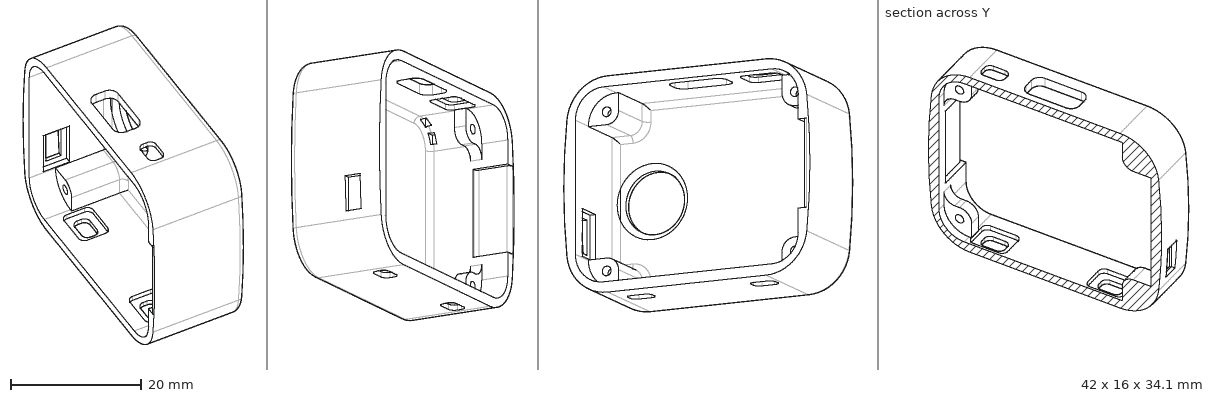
import cadquery as cq
import math

width = 42.01
height = 34.13
depth = 16.0
outer_corner_radius = 7.0
flat_length = 27.0
back_edge_radius = 1.0

cavity_width = 38.0
cavity_height = 30.75
cavity_left_radius = 4.8
cavity_right_radius = 4.5
floor_thickness = 2.0
floor_fillet = 1.0
floor_y = depth - floor_thickness

screw_center_x = 0.17
screw_pitch_x = 32.1
screw_pitch_z = 25.1
screw_hole_diameter = 1.5
support_front_y = 4.6
post_radius = 2.03
tab_radius = 2.2
tab_thickness = 2.0
tab_root_radius = 1.95

lens_x = -12.6
lens_diameter = 10.0
lens_chamfer = 1.0

button_x = 0.22
button_y = 4.55
button_length = 9.6
button_width = 4.6
button_corner_radius = 1.5
slot_middle_x = 0.3
slot_pitch_x = 21.0
slot_y = 5.1
slot_length = 4.15
slot_width = 2.7
slot_corner_radius = 1.0
seat_margin = 1.2
seat_depth = 0.85

window_front_y = 3.46
window_length = 2.64
window_bottom_z = -9.37
window_height = 5.53
window_lip = 1.05
window_seat_margin = 1.0

recess_height = 14.05
recess_depth = 0.85
recess_length = 6.15
recess_step = 0.25
recess_radius = recess_depth - recess_step

notch_near = 1.1
notch_far = 2.7
notch_inner = 2.7
notch_outer = 4.8
notch_front_y = 12.5
notch_length = 1.0

half_width = width / 2
half_height = height / 2
wall_x = cavity_width / 2
wall_z = cavity_height / 2
left_screw_x = screw_center_x - screw_pitch_x / 2
right_screw_x = screw_center_x + screw_pitch_x / 2
screw_z = screw_pitch_z / 2


def plane_at(y):
    """Sketch plane parallel to XZ; extrude a negative length to move toward +Y."""
    return cq.Workplane("XZ", origin=(0, y, 0))


def rounded_block(length, width_y, bottom_z, tall, radius, x, y):
    """Upright block with rounded vertical edges."""
    block = cq.Workplane("XY").box(length, width_y, tall, centered=(True, True, False))
    return block.edges("|Z").fillet(radius).translate((x, y, bottom_z))


def make_shell():
    """Rounded block whose bowed left and right sides run tangent into the corners."""
    r = outer_corner_radius
    corner_x = flat_length / 2
    corner_z = half_height - r
    reach = half_width - corner_x
    side_radius = (reach**2 - r**2 + corner_z**2) / (2 * (reach - r))
    side_angle = math.asin(corner_z / (side_radius - r))
    middle_angle = (side_angle + math.pi / 2) / 2
    end_x = corner_x + r * math.cos(side_angle)
    end_z = corner_z + r * math.sin(side_angle)
    mid_x = corner_x + r * math.cos(middle_angle)
    mid_z = corner_z + r * math.sin(middle_angle)
    outline = (
        plane_at(0)
        .moveTo(-corner_x, half_height)
        .lineTo(corner_x, half_height)
        .threePointArc((mid_x, mid_z), (end_x, end_z))
        .threePointArc((half_width, 0), (end_x, -end_z))
        .threePointArc((mid_x, -mid_z), (corner_x, -half_height))
        .lineTo(-corner_x, -half_height)
        .threePointArc((-mid_x, -mid_z), (-end_x, -end_z))
        .threePointArc((-half_width, 0), (-end_x, end_z))
        .threePointArc((-mid_x, mid_z), (-corner_x, half_height))
        .close()
    )
    return outline.extrude(-depth).faces(">Y").edges().fillet(back_edge_radius)


def cavity_block(front_y, back_y):
    """Stretch of the hollow between two depths, with rounded corners."""
    block = plane_at(front_y).rect(cavity_width, cavity_height).extrude(front_y - back_y)
    block = block.edges("|Y and <X").fillet(cavity_left_radius)
    return block.edges("|Y and >X").fillet(cavity_right_radius)


def make_cavity():
    """Hollow of the case, leaving two posts that grow from the floor on the left."""
    deep_part = cavity_block(support_front_y, floor_y)
    post_length = floor_y - support_front_y
    for side in (-1, 1):
        inner_x = left_screw_x + post_radius
        inner_z = screw_z - post_radius
        post_width = inner_x + half_width
        post_height = half_height - inner_z
        post = (
            plane_at(support_front_y)
            .center(inner_x - post_width / 2, side * (inner_z + post_height / 2))
            .rect(post_width, post_height)
            .extrude(-post_length)
            .edges(">X and |Y")
            .edges("<Z" if side > 0 else ">Z")
            .fillet(post_radius)
        )
        deep_part = deep_part.cut(post)
    deep_part = deep_part.faces(">Y").edges().fillet(floor_fillet)
    return cavity_block(0, support_front_y).union(deep_part)


def make_tab(side):
    """Corner tab on the right wall; side is +1 for the top and -1 for the bottom."""
    left = right_screw_x - tab_radius
    low = screw_z - tab_radius
    bend = math.sqrt(0.5)
    root_x = wall_x - tab_root_radius
    root_z = low - tab_root_radius
    tab = (
        plane_at(support_front_y)
        .moveTo(left, wall_z)
        .lineTo(left, screw_z)
        .threePointArc(
            (right_screw_x - tab_radius * bend, screw_z - tab_radius * bend),
            (right_screw_x, low),
        )
        .lineTo(root_x, low)
        .threePointArc(
            (root_x + tab_root_radius * bend, root_z + tab_root_radius * bend),
            (wall_x, root_z),
        )
        .lineTo(wall_x, wall_z)
        .close()
        .extrude(-tab_thickness)
    )
    tab = tab.intersect(make_shell())
    return tab if side > 0 else tab.mirror("XY")


def make_screw_holes():
    """Four holes: through the tabs and equally deep in the posts."""
    return (
        plane_at(support_front_y)
        .center(screw_center_x, 0)
        .rect(screw_pitch_x, screw_pitch_z, forConstruction=True)
        .vertices()
        .circle(screw_hole_diameter / 2)
        .extrude(-tab_thickness)
    )


def make_lens_opening():
    """Round opening with a chamfer around its inner edge."""
    lens_radius = lens_diameter / 2
    bore = plane_at(floor_y).center(lens_x, 0).circle(lens_radius).extrude(-floor_thickness)
    cone = cq.Solid.makeCone(
        lens_radius + lens_chamfer,
        lens_radius,
        lens_chamfer,
        pnt=cq.Vector(lens_x, floor_y, 0),
        dir=cq.Vector(0, 1, 0),
    )
    return bore.union(cq.Workplane(cone))


def make_slot(x, side):
    """Slot through the top (+1) or bottom (-1) wall with a wider seat on the inside."""
    wall = half_height - wall_z
    slot = rounded_block(slot_length, slot_width, wall_z, wall, slot_corner_radius, x, slot_y)
    seat = rounded_block(
        slot_length + 2 * seat_margin,
        slot_width + 2 * seat_margin,
        wall_z,
        seat_depth,
        slot_corner_radius,
        x,
        slot_y,
    )
    opening = slot.union(seat)
    return opening if side > 0 else opening.mirror("XY")


def make_button_opening():
    """Large rounded opening through the top wall."""
    return rounded_block(
        button_length,
        button_width,
        wall_z,
        half_height - wall_z,
        button_corner_radius,
        button_x,
        button_y,
    )


def make_window():
    """Rectangular window with a larger seat on the inside of the left wall."""
    wall = half_width - wall_x
    margin = window_seat_margin
    window = cq.Workplane("XY").box(wall, window_length, window_height, centered=False)
    window = window.translate((-half_width, window_front_y, window_bottom_z))
    seat = cq.Workplane("XY").box(
        wall - window_lip,
        window_length + 2 * margin,
        window_height + 2 * margin,
        centered=False,
    )
    seat = seat.translate((window_lip - half_width, window_front_y - margin, window_bottom_z - margin))
    return window.union(seat)


def make_recess():
    """Shallow recess with a rounded inner end and a rounded lip at the rim."""
    bottom_x = wall_x + recess_depth
    r = recess_radius
    bend = r * math.sqrt(0.5)
    return (
        cq.Workplane("XY", origin=(0, 0, -recess_height / 2))
        .moveTo(wall_x, 0)
        .lineTo(wall_x, recess_length)
        .lineTo(wall_x + recess_step, recess_length)
        .threePointArc(
            (wall_x + recess_step + bend, recess_length - r + bend),
            (bottom_x, recess_length - r),
        )
        .lineTo(bottom_x, r)
        .threePointArc((bottom_x + r - bend, r - bend), (bottom_x + r, 0))
        .close()
        .extrude(recess_height)
    )


def make_notches(side):
    """Two notches mirrored about the diagonal of a right-hand corner."""
    corner_x = wall_x - cavity_right_radius
    corner_z = wall_z - cavity_right_radius
    long_side = notch_outer - notch_inner
    short_side = notch_far - notch_near
    high = cq.Workplane("XY").box(short_side, notch_length, long_side, centered=False)
    high = high.translate((corner_x + notch_near, notch_front_y, corner_z + notch_inner))
    wide = cq.Workplane("XY").box(long_side, notch_length, short_side, centered=False)
    wide = wide.translate((corner_x + notch_inner, notch_front_y, corner_z + notch_near))
    notches = high.union(wide)
    return notches if side > 0 else notches.mirror("XY")


left_slot_x = slot_middle_x - slot_pitch_x / 2
right_slot_x = slot_middle_x + slot_pitch_x / 2

result = make_shell().cut(make_cavity())
for side in (-1, 1):
    result = result.union(make_tab(side))
    result = result.cut(make_notches(side))

result = result.cut(make_screw_holes())
result = result.cut(make_lens_opening())
for slot_x, side in ((left_slot_x, -1), (right_slot_x, -1), (right_slot_x, 1)):
    result = result.cut(make_slot(slot_x, side))
result = result.cut(make_button_opening())
result = result.cut(make_window())
result = result.cut(make_recess())